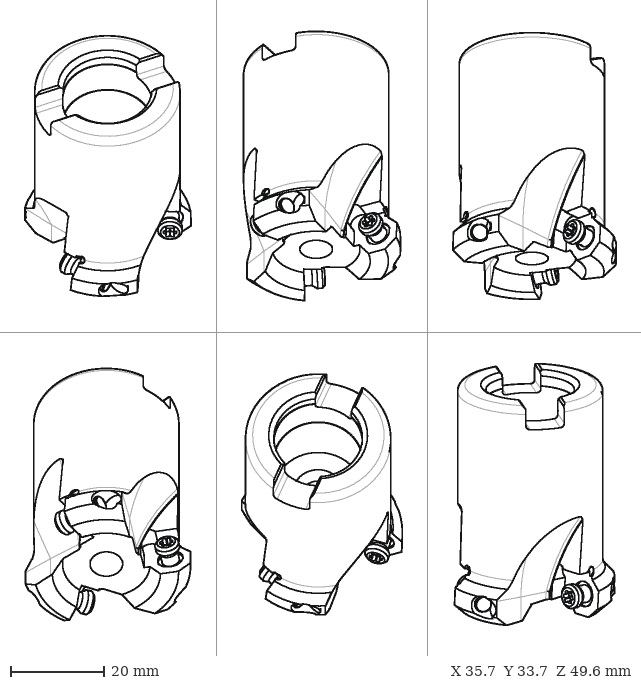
import cadquery as cq
import math

reach = 40.0
margin = 1.0

height = 49.57
shank_radius = 15.6
flange_radius = 18.1
flange_end_radius = 15.5
flange_bottom = 2.4
flange_top = 6.4
neck_radius = 16.1
neck_bottom = flange_top + flange_radius - neck_radius
neck_middle = (15.72, 9.4)
neck_top = 10.4
top_rounding = 1.5

bore_radius = 9.5
bore_depth = 25.0
bore_chamfer = 1.1
relief_radius = 9.6
relief_start = 3.4
relief_end = 11.6
slot_width = 8.4
slot_depth = 5.0
slot_corner = 0.9
slot_edge_break = 0.45
hole_radius = 3.5
hole_entry_radius = 4.0
hole_mouth_radius = 5.28

recess_mouth_radius = 11.6
recess_floor_radius = 9.4
recess_depth = 3.07

tooth_angles = (0, -120, 117)
seat_heading = 186
seat_tilt = 4.9
seat_point = (-13.1, -4.05, 4.77)

wall_offset = 3.85
flute_floor = 6.9
flute_floor_top = 4.7
flute_curve_middle = (10.3, 14.6)
flute_exit = (15.6, 23.4)
flute_corner = 1.0
heel_start = (-7.8, 9.1)
heel_angle = -2.5
heel_ease = 0.07

pocket_inner = 5.7
pocket_top = 5.4
pocket_bottom = 12.0
corner_relief_center = (-4.5, 4.2)
corner_relief_radius = 2.2
edge_relief_radius = 1.05
edge_relief_start = 1.5

screw_radius = 1.9
screw_end = -6.5
screw_end_chamfer = 0.2
head_radius = 2.6
head_top = 4.65
head_chamfer = 0.6
head_height = 1.7
neck_end = 1.9
socket_depth = 1.6
socket_core_radius = 1.0
lobe_radius = 0.42
lobe_count = 6
screw_counterbore_radius = 2.75
screw_counterbore_depth = 0.5
exit_radius = 2.5
exit_drop = 8.3
exit_inner = 1.5
exit_tip_depth = 0.15

heading = math.radians(seat_heading)
tilt = math.radians(seat_tilt)
seat_outward = (math.cos(heading), math.sin(heading), 0)
seat_normal = (
    math.sin(heading) * math.cos(tilt),
    -math.cos(heading) * math.cos(tilt),
    math.sin(tilt),
)
seat = cq.Plane(origin=seat_point, xDir=seat_outward, normal=seat_normal)
lowest_along_normal = cq.selectors.DirectionMinMaxSelector(cq.Vector(*seat_normal), False)


def around_axis(shape, angle):
    return shape.rotate((0, 0, 0), (0, 0, 1), angle)


def blank():
    """Shank and flange as one turned solid."""
    return (
        cq.Workplane("XZ")
        .moveTo(0, 0)
        .lineTo(flange_end_radius, 0)
        .lineTo(flange_radius, flange_bottom)
        .lineTo(flange_radius, flange_top)
        .lineTo(neck_radius, neck_bottom)
        .threePointArc(neck_middle, (shank_radius, neck_top))
        .lineTo(shank_radius, height)
        .lineTo(0, height)
        .close()
        .revolve(360, (0, 0, 0), (0, 1, 0))
        .faces(">Z")
        .edges()
        .fillet(top_rounding)
    )


def bore():
    """Stepped arbor bore, clearance hole and the recess in the cutting end."""
    bore_floor = height - bore_depth
    mouth_floor = bore_floor - (hole_mouth_radius - hole_entry_radius)
    hole_top = mouth_floor - (hole_entry_radius - hole_radius)
    return (
        cq.Workplane("XZ")
        .moveTo(0, 0)
        .lineTo(recess_mouth_radius, 0)
        .lineTo(recess_floor_radius, recess_depth)
        .lineTo(hole_radius, recess_depth)
        .lineTo(hole_radius, hole_top)
        .lineTo(hole_entry_radius, mouth_floor)
        .lineTo(hole_mouth_radius, bore_floor)
        .lineTo(bore_radius, bore_floor)
        .lineTo(bore_radius, height - relief_end)
        .lineTo(relief_radius, height - relief_end)
        .lineTo(relief_radius, height - relief_start)
        .lineTo(bore_radius, height - relief_start)
        .lineTo(bore_radius, height - bore_chamfer)
        .lineTo(bore_radius + bore_chamfer, height)
        .lineTo(0, height)
        .close()
        .revolve(360, (0, 0, 0), (0, 1, 0))
    )


def drive_slot():
    """Slot across the top with rounded lower corners and broken upper edges."""
    half = slot_width / 2
    slot = (
        cq.Workplane("XY")
        .box(slot_width, reach, slot_depth, centered=(True, True, False))
        .translate((0, 0, height - slot_depth))
        .edges("|Y and <Z")
        .fillet(slot_corner)
    )
    edge_break = (
        cq.Workplane("XZ")
        .moveTo(-half, height - slot_edge_break)
        .lineTo(half, height - slot_edge_break)
        .lineTo(half + slot_edge_break, height)
        .lineTo(-half - slot_edge_break, height)
        .close()
        .extrude(reach / 2, both=True)
    )
    return slot.union(edge_break)


def floor_prism(ease):
    """Space outside a floor that rises straight, then curves outwards to the shank."""
    section = cq.Plane(origin=(0, 0, 0), xDir=seat_outward, normal=seat_normal)
    return (
        cq.Workplane(section)
        .moveTo(flute_floor, -reach)
        .lineTo(flute_floor, flute_floor_top)
        .threePointArc(
            (flute_curve_middle[0] + ease, flute_curve_middle[1]),
            (flute_exit[0] + ease, flute_exit[1]),
        )
        .lineTo(reach, flute_exit[1])
        .lineTo(reach, -reach)
        .close()
        .extrude(reach, both=True)
    )


def flute():
    """Chip space bounded by the tilted wall in front of the seat, the floor and the heel."""
    wall_side = (
        cq.Workplane(seat)
        .workplane(offset=wall_offset)
        .rect(2 * reach, 2 * reach)
        .extrude(reach)
    )
    main_space = floor_prism(0).intersect(wall_side)
    inner_corner = cq.selectors.BoxSelector(
        (-flute_exit[0] - margin, -reach, -reach), (0, reach, flute_exit[1] - margin)
    )
    main_space = main_space.faces(lowest_along_normal).edges(inner_corner).fillet(flute_corner)
    heel_space = floor_prism(heel_ease).rotate((*heel_start, 0), (*heel_start, 1), heel_angle)
    return main_space.union(heel_space.intersect(wall_side))


def insert_pocket():
    """Seat pocket with its corner reliefs."""
    pocket = (
        cq.Workplane(seat)
        .moveTo(-pocket_inner, -pocket_bottom)
        .lineTo(-pocket_inner, pocket_top)
        .lineTo(reach, pocket_top)
        .lineTo(reach, -pocket_bottom)
        .close()
        .extrude(wall_offset)
    )
    corner_relief = (
        cq.Workplane(seat)
        .center(*corner_relief_center)
        .circle(corner_relief_radius)
        .extrude(wall_offset)
    )
    edge_relief = cq.Workplane(
        cq.Solid.makeCylinder(
            edge_relief_radius,
            reach,
            seat.toWorldCoords((edge_relief_start, pocket_top, 0)),
            cq.Vector(*seat_outward),
        )
    )
    return pocket.union(corner_relief).union(edge_relief)


def screw_hole():
    """Hole through the tooth, counterbored at the seat, ending in a cross-drilled hole."""
    thread = (
        cq.Workplane(seat)
        .circle(screw_radius)
        .extrude(screw_end)
        .faces(lowest_along_normal)
        .edges()
        .chamfer(screw_end_chamfer)
    )
    counterbore = (
        cq.Workplane(seat).circle(screw_counterbore_radius).extrude(-screw_counterbore_depth)
    )
    exit_plane = cq.Plane(
        origin=seat.toWorldCoords((-exit_inner, 0, -exit_drop)),
        xDir=seat_normal,
        normal=seat_outward,
    )
    exit_hole = cq.Workplane(exit_plane).circle(exit_radius).extrude(reach)
    exit_tip = cq.Workplane(
        cq.Solid.makeCone(
            exit_radius,
            0,
            exit_tip_depth,
            exit_plane.origin,
            exit_plane.zDir.multiply(-1),
        )
    )
    return thread.union(counterbore).union(exit_hole).union(exit_tip)


def clamping_screw():
    """Cone-headed screw with a six-lobed socket."""
    head_face_radius = head_radius - head_chamfer
    profile = (
        cq.Workplane("XZ")
        .moveTo(0, screw_end)
        .lineTo(screw_radius - screw_end_chamfer, screw_end)
        .lineTo(screw_radius, screw_end + screw_end_chamfer)
        .lineTo(screw_radius, neck_end)
        .lineTo(head_radius, head_top - head_height)
        .lineTo(head_radius, head_top - head_chamfer)
        .lineTo(head_face_radius, head_top)
        .lineTo(0, head_top)
        .close()
        .revolve(360, (0, 0, 0), (0, 1, 0))
    )
    socket = (
        cq.Workplane("XY")
        .workplane(offset=head_top)
        .circle(socket_core_radius)
        .extrude(-socket_depth)
    )
    lobes = (
        cq.Workplane("XY")
        .workplane(offset=head_top)
        .polarArray(socket_core_radius, 0, 360, lobe_count)
        .circle(lobe_radius)
        .extrude(-socket_depth)
    )
    screw = profile.cut(socket).cut(lobes)
    return cq.Workplane(screw.val().moved(cq.Location(seat)))


flute_cut = flute()
pocket_cut = insert_pocket()
hole_cut = screw_hole()
single_screw = clamping_screw()

body = blank().cut(bore()).cut(drive_slot())
screws = []
for angle in tooth_angles:
    for cutter in (flute_cut, pocket_cut, hole_cut):
        body = body.cut(around_axis(cutter, angle))
    screws.append(around_axis(single_screw, angle).val())

result = cq.Compound.makeCompound([body.val(), *screws])